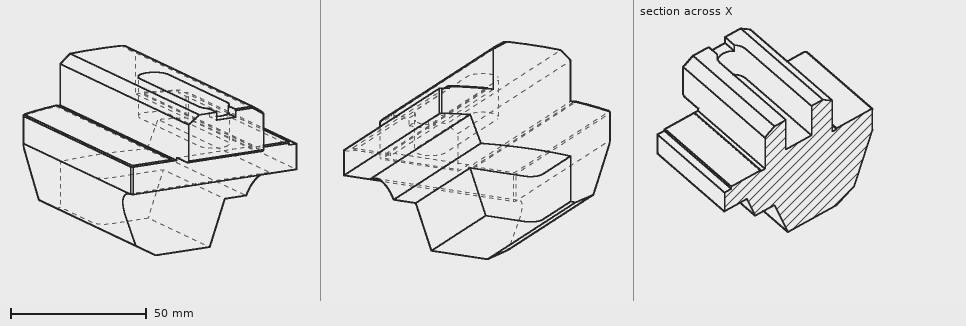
import cadquery as cq
import math


LENGTH = 96.94
WIDTH = 70.0
HEIGHT = 58.0
NOSE_RADIUS = 95.0
HALF_WIDTH = WIDTH / 2

RIDGE_HALF_WIDTH = 15.9
RIDGE_BEVEL_WIDTH = 4.5
RIDGE_BEVEL_DEPTH = 3.2
RIDGE_SHOULDER = 0.9
RIDGE_UNDERSIDE_DEPTH = 17.9
RIDGE_TAIL_CHAMFER = 0.8
RIDGE_EDGE_CHAMFER = 0.5

SLOT_WIDTH = 12.0
SLOT_START = 37.5
SLOT_END = LENGTH - 4.0
SLOT_DEPTH = 15.0
NOTCH_WIDTH = 8.0
NOTCH_DEPTH = 3.0

FLANGE_LENGTH = 88.0
FLANGE_BOTTOM_DEPTH = 29.5
PAD_TOP_DEPTH = 18.5
PAD_EDGE_CHAMFER = 0.5
GROOVE_WIDTH = 2.0
RABBET_WIDTH = 3.2
RABBET_DEPTH = 19.7
CORNER_CHAMFER = 0.7

KEEL_LENGTH = 76.0
FLANK_SLOPE = math.tan(math.radians(20))
UPPER_KEEL_DEPTH = 40.4
UPPER_KEEL_TOP_Y = 24.4
LOWER_KEEL_TOP_Y = 11.4
BOTTOM_BEVEL_WIDTH = 8.4
BOTTOM_BEVEL_HEIGHT = 4.8

RECESS_LENGTH = 30.0
RECESS_CORNER_RADIUS = 5.0

GROOVE_FLOOR_DEPTH = PAD_TOP_DEPTH + PAD_EDGE_CHAMFER
PAD_INNER_Y = RIDGE_HALF_WIDTH + GROOVE_WIDTH
PAD_OUTER_Y = HALF_WIDTH - RABBET_WIDTH


def box(x_range, y_range, z_range):
    """Axis-aligned block between the given limits."""
    size = [high - low for low, high in (x_range, y_range, z_range)]
    low_corner = (x_range[0], y_range[0], z_range[0])
    return cq.Workplane("XY").box(*size, centered=False).translate(low_corner)


def bar(section, length):
    """Straight bar from X = 0 with the given (Y, Z) section."""
    return cq.Workplane("YZ").polyline(section).close().extrude(length)


def nose_cylinder():
    """Upright cylinder whose surface forms the crowned nose."""
    return (
        cq.Workplane("XY", origin=(NOSE_RADIUS, 0, -HEIGHT))
        .circle(NOSE_RADIUS)
        .extrude(HEIGHT)
    )


def make_ridge():
    bevel_y = RIDGE_HALF_WIDTH - RIDGE_BEVEL_WIDTH
    section = [
        (-RIDGE_HALF_WIDTH, -FLANGE_BOTTOM_DEPTH),
        (-RIDGE_HALF_WIDTH, -RIDGE_BEVEL_DEPTH),
        (-bevel_y, 0),
        (bevel_y, 0),
        (RIDGE_HALF_WIDTH - RIDGE_SHOULDER, RIDGE_SHOULDER - RIDGE_BEVEL_DEPTH),
        (RIDGE_HALF_WIDTH, -RIDGE_BEVEL_DEPTH),
        (RIDGE_HALF_WIDTH, -FLANGE_BOTTOM_DEPTH),
    ]
    ridge = bar(section, LENGTH)
    overhang_gap = box(
        (FLANGE_LENGTH, LENGTH),
        (-HALF_WIDTH, HALF_WIDTH),
        (-HEIGHT, -RIDGE_UNDERSIDE_DEPTH),
    )
    ridge = ridge.cut(overhang_gap).intersect(nose_cylinder())
    ridge = ridge.faces(">X").edges("<Z").chamfer(RIDGE_TAIL_CHAMFER)
    ridge = cut_slot_and_notch(ridge)
    return soften_bevel_ends(ridge, bevel_y)


def cut_slot_and_notch(ridge):
    slot = (
        cq.Workplane("XY", origin=((SLOT_START + SLOT_END) / 2, 0, 0))
        .slot2D(SLOT_END - SLOT_START, SLOT_WIDTH)
        .extrude(-SLOT_DEPTH)
    )
    notch = box(
        (SLOT_END - SLOT_WIDTH / 2, LENGTH),
        (-NOTCH_WIDTH / 2, NOTCH_WIDTH / 2),
        (-NOTCH_DEPTH, 0),
    )
    return ridge.cut(slot).cut(notch)


def soften_bevel_ends(ridge, bevel_y):
    """Chamfer both ends of the +Y ridge bevel and the tail edge beside it."""
    bevel_middle_y = RIDGE_HALF_WIDTH - RIDGE_SHOULDER - (RIDGE_BEVEL_WIDTH - RIDGE_SHOULDER) / 2
    top_middle_y = (bevel_y + NOTCH_WIDTH / 2) / 2
    bevel_middle_z = (RIDGE_SHOULDER - RIDGE_BEVEL_DEPTH) / 2
    nose_edge = cq.selectors.NearestToPointSelector((0, bevel_middle_y, bevel_middle_z))
    tail_bevel_edge = cq.selectors.NearestToPointSelector((LENGTH, bevel_middle_y, bevel_middle_z))
    tail_top_edge = cq.selectors.NearestToPointSelector((LENGTH, top_middle_y, 0))
    return ridge.edges(nose_edge + tail_bevel_edge + tail_top_edge).chamfer(RIDGE_EDGE_CHAMFER)


def make_plan_block():
    """Full-height block with the crowned nose and the chamfered upright corners."""
    block = box((0, FLANGE_LENGTH), (-HALF_WIDTH, HALF_WIDTH), (-HEIGHT, 0)).intersect(nose_cylinder())
    block = block.edges("|Z").edges("<Y").chamfer(CORNER_CHAMFER)
    return block.faces(">Y").edges("|Z").edges("<X").chamfer(CORNER_CHAMFER)


def make_base():
    """Flange and keel in one piece, with the top grooved and rabbeted to leave two raised pads."""
    upper_rise = UPPER_KEEL_DEPTH - FLANGE_BOTTOM_DEPTH
    lower_rise = HEIGHT - UPPER_KEEL_DEPTH
    bevel_top_z = BOTTOM_BEVEL_HEIGHT - HEIGHT
    right_flank_height = -FLANGE_BOTTOM_DEPTH - bevel_top_z
    bevel_top_y = right_flank_height * FLANK_SLOPE - HALF_WIDTH
    section = [
        (-HALF_WIDTH, -PAD_TOP_DEPTH),
        (HALF_WIDTH, -PAD_TOP_DEPTH),
        (HALF_WIDTH, -FLANGE_BOTTOM_DEPTH),
        (UPPER_KEEL_TOP_Y, -FLANGE_BOTTOM_DEPTH),
        (UPPER_KEEL_TOP_Y - upper_rise * FLANK_SLOPE, -UPPER_KEEL_DEPTH),
        (LOWER_KEEL_TOP_Y, -UPPER_KEEL_DEPTH),
        (LOWER_KEEL_TOP_Y - lower_rise * FLANK_SLOPE, -HEIGHT),
        (bevel_top_y + BOTTOM_BEVEL_WIDTH, -HEIGHT),
        (bevel_top_y, bevel_top_z),
        (-HALF_WIDTH, -FLANGE_BOTTOM_DEPTH),
    ]
    base = make_plan_block().intersect(bar(section, FLANGE_LENGTH))
    base = base.faces(">Z").chamfer(PAD_EDGE_CHAMFER)
    grooves = box((0, FLANGE_LENGTH), (-PAD_INNER_Y, PAD_INNER_Y), (-GROOVE_FLOOR_DEPTH, 0))
    rabbet = box((0, FLANGE_LENGTH), (PAD_OUTER_Y, HALF_WIDTH), (-RABBET_DEPTH, 0))
    return base.cut(grooves).cut(rabbet).cut(tail_relief()).cut(nose_recess())


def tail_relief():
    """Cut behind the keel, blended into the flange by a quarter-round cove."""
    cove_radius = FLANGE_LENGTH - KEEL_LENGTH
    cove = (
        cq.Workplane("XZ", origin=(FLANGE_LENGTH, 0, -FLANGE_BOTTOM_DEPTH - cove_radius))
        .circle(cove_radius)
        .extrude(HALF_WIDTH, both=True)
    )
    below_cove = box(
        (KEEL_LENGTH, LENGTH),
        (-HALF_WIDTH, HALF_WIDTH),
        (-HEIGHT, -FLANGE_BOTTOM_DEPTH - cove_radius),
    )
    return cove.union(below_cove)


def nose_recess():
    recess = box((0, RECESS_LENGTH), (-RIDGE_HALF_WIDTH, HALF_WIDTH), (-HEIGHT, -UPPER_KEEL_DEPTH))
    return recess.edges("|Z").edges(">X").edges("<Y").fillet(RECESS_CORNER_RADIUS)


result = make_base().union(make_ridge())